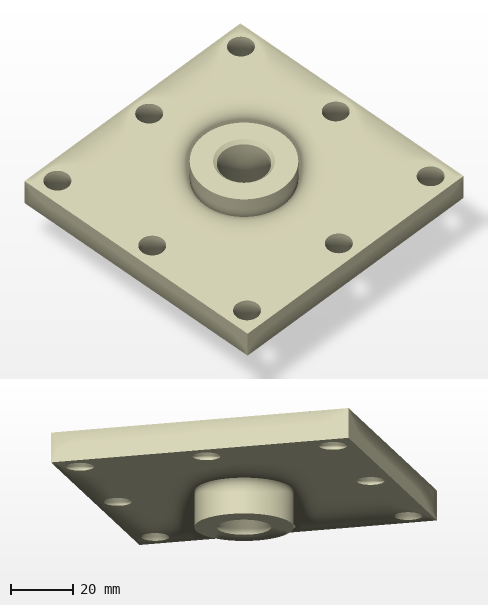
import cadquery as cq

plate_side = 100.0
plate_thickness = 10.0
bolt_hole_diameter = 9.0
bolt_spacing = 42.5

flange_diameter = 35.0
flange_height = 8.0
sleeve_diameter = 32.0
sleeve_drop = 12.0
bore_diameter = 17.5
bore_chamfer = 1.2


def make_plate():
    """Square plate with a bushing hole and eight bolt holes around the edge."""
    steps = (-bolt_spacing, 0, bolt_spacing)
    bolt_points = [(x, y) for x in steps for y in steps if (x, y) != (0, 0)]
    plate = cq.Workplane("XY").rect(plate_side, plate_side).extrude(plate_thickness)
    plate = plate.faces(">Z").workplane().hole(sleeve_diameter)
    return plate.faces(">Z").workplane().pushPoints(bolt_points).hole(bolt_hole_diameter)


def make_bushing():
    """Sleeve filling the plate hole, with a flange seated on the plate's top face."""
    sleeve = (
        cq.Workplane("XY", origin=(0, 0, -sleeve_drop))
        .circle(sleeve_diameter / 2)
        .extrude(sleeve_drop + plate_thickness)
    )
    flange = (
        cq.Workplane("XY", origin=(0, 0, plate_thickness))
        .circle(flange_diameter / 2)
        .extrude(flange_height)
    )
    bushing = sleeve.union(flange).faces(">Z").workplane().hole(bore_diameter)
    return bushing.faces(">Z").edges(cq.selectors.RadiusNthSelector(0)).chamfer(bore_chamfer)


plate = make_plate()
bushing = make_bushing()
result = cq.Compound.makeCompound([plate.val(), bushing.val()])